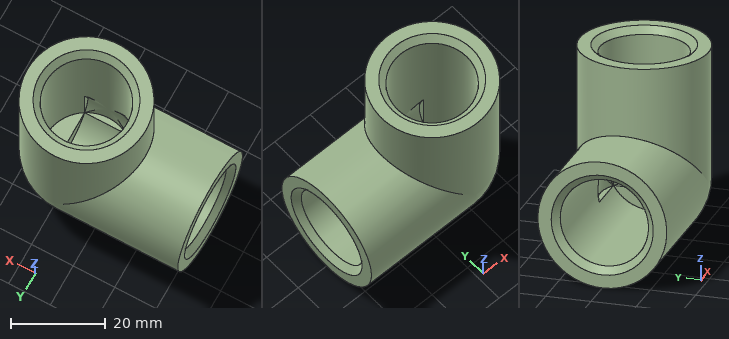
import cadquery as cq

overall_length = 44.0
outer_diameter = 28.5
bore_diameter = 19.5
mouth_diameter = 22.55
bore_overrun = 5.0

outer_radius = outer_diameter / 2
bore_radius = bore_diameter / 2
arm_length = overall_length - outer_radius
lead_in = (mouth_diameter - bore_diameter) / 2


def arm(face):
    """Solid cylinder from a socket face to the crossing of the axes."""
    return face.circle(outer_radius).extrude(-arm_length)


def socket_cut(face):
    """Blind bore with a conical lead-in, cut inward from a socket face."""
    bore = face.circle(bore_radius).extrude(-(arm_length + bore_overrun))
    cone = (
        face.circle(mouth_diameter / 2)
        .workplane(offset=-lead_in)
        .circle(bore_radius)
        .loft()
    )
    return bore.union(cone)


socket_faces = [
    cq.Workplane("XY", origin=(0, 0, arm_length)),
    cq.Workplane(cq.Plane(origin=(-arm_length, 0, 0), xDir=(0, 1, 0), normal=(-1, 0, 0))),
]

result = cq.Workplane("XY").sphere(outer_radius)
for socket_face in socket_faces:
    result = result.union(arm(socket_face))

for socket_face in socket_faces:
    result = result.cut(socket_cut(socket_face))